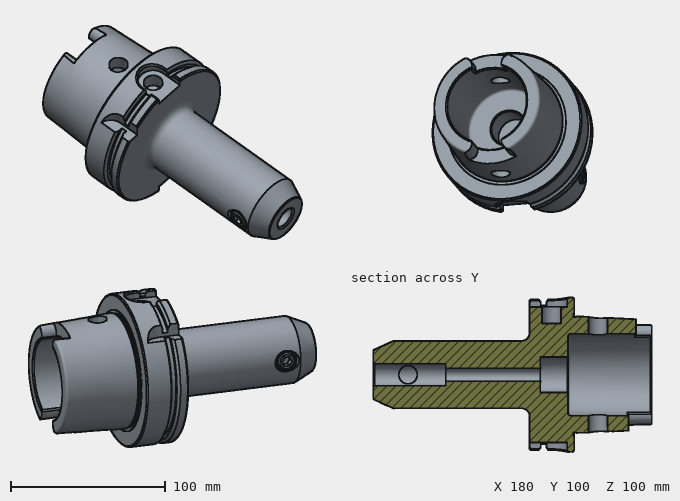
import cadquery as cq
import math

LENGTH = 180.0
FLANGE_RADIUS = 100.0 / 2

TAPER_END = 47.3
TAPER_LARGE_RADIUS = 37.8
TAPER_SLOPE = 0.05
TAPER_SMALL_RADIUS = TAPER_LARGE_RADIUS - TAPER_SLOPE * TAPER_END
NOSE_ROUND = 1.8
RELIEF_RADIUS = 37.5
RELIEF_START = 48.5
RELIEF_FULL = 49.5
FACE_RECESS_RADIUS = 39.6
FACE_RECESS_DEPTH = 0.5

FLANGE_START = 50.0
FLANGE_END = 79.0
FLANGE_EDGE = 0.9
GROOVE_LEFT = 66.8
GROOVE_FLOOR_LEFT = 68.0
GROOVE_FLOOR_RIGHT = 71.6
GROOVE_RIGHT = 73.3
GROOVE_LIP_RADIUS = 47.9
GROOVE_RADIUS = 45.9

SHANK_RADIUS = 22.0
SHANK_FILLET = 5.0
TIP_START = 166.9
TIP_RADIUS = 16.2
TIP_EDGE = 0.5

CLAMP_BORE_RADIUS = 26.5
CLAMP_BORE_DEPTH = 54.0
CLAMP_FLOOR_FILLET = 1.6
CLAMP_RIM_CHAMFER = 0.9
TUBE_BORE_RADIUS = 11.3
TUBE_BORE_DEPTH = 18.0
TUBE_BORE_CHAMFER = 0.7
COOLANT_RADIUS = 8.1 / 2
TOOL_BORE_RADIUS = 7.0
TOOL_BORE_DEPTH = 46.8
TOOL_BORE_CHAMFER = 1.0

DRIVE_HALF_WIDTH = 9.9
DRIVE_FLARE_RADIUS = 5.8
UPPER_DRIVE_DEPTH = 10.0
LOWER_DRIVE_DEPTH = 15.0

CROSS_HOLE_X = 34.7
CROSS_HOLE_RADIUS = 6.1

KEYWAY_X = 64.8
KEYWAY_HALF_WIDTH = 10.0
KEYWAY_FLOOR = 44.0
KEYWAY_CHAMFER = 1.0
KEYWAY_HOLE_RADIUS = 6.1
KEYWAY_HOLE_DEPTH = 10.8

NOTCH_OFFSET = 31.1

SCREW_X = 157.5
SCREW_RADIUS = 6.0
SCREW_TOP = 21.8
SCREW_CHAMFER = 1.0
HEX_ACROSS_FLATS = 6.0
HEX_DEPTH = 4.5
HEX_TURN = 30
SCREW_RELIEF_RADIUS = 7.0
SCREW_RELIEF_FLOOR = 20.2
COUNTERSINK_RADIUS = 8.3

OVERSHOOT = 1.8
TOLERANCE = 0.02


def revolved(profile):
    return profile.close().revolve(360, (0, 0, 0), (1, 0, 0))


def outer_body():
    fillet_top = SHANK_RADIUS + SHANK_FILLET
    arc_x = FLANGE_END + SHANK_FILLET * (1 - math.sqrt(0.5))
    arc_radius = fillet_top - SHANK_FILLET * math.sqrt(0.5)
    recess_floor = FLANGE_START + FACE_RECESS_DEPTH
    profile = (
        cq.Workplane("XZ")
        .moveTo(0, 0)
        .lineTo(0, TAPER_SMALL_RADIUS)
        .lineTo(TAPER_END, TAPER_LARGE_RADIUS)
        .lineTo(RELIEF_START, TAPER_LARGE_RADIUS)
        .lineTo(RELIEF_FULL, RELIEF_RADIUS)
        .lineTo(recess_floor, RELIEF_RADIUS)
        .lineTo(recess_floor, FACE_RECESS_RADIUS)
        .lineTo(FLANGE_START, FACE_RECESS_RADIUS)
        .lineTo(FLANGE_START, FLANGE_RADIUS - FLANGE_EDGE)
        .lineTo(FLANGE_START + FLANGE_EDGE, FLANGE_RADIUS)
        .lineTo(FLANGE_END - FLANGE_EDGE, FLANGE_RADIUS)
        .lineTo(FLANGE_END, FLANGE_RADIUS - FLANGE_EDGE)
        .lineTo(FLANGE_END, fillet_top)
        .threePointArc((arc_x, arc_radius), (FLANGE_END + SHANK_FILLET, SHANK_RADIUS))
        .lineTo(TIP_START, SHANK_RADIUS)
        .lineTo(LENGTH - TIP_EDGE, TIP_RADIUS)
        .lineTo(LENGTH, TIP_RADIUS - TIP_EDGE)
        .lineTo(LENGTH, 0)
    )
    return revolved(profile).faces("<X").edges().fillet(NOSE_ROUND)


def clamp_bore():
    bore = cq.Workplane("YZ").circle(CLAMP_BORE_RADIUS).extrude(CLAMP_BORE_DEPTH)
    return bore.faces(">X").edges().fillet(CLAMP_FLOOR_FILLET)


def drive_slot(depth, side):
    """A slot across the nose whose walls flare out in arcs; side is +1 for +Z and -1 for -Z."""
    half = DRIVE_HALF_WIDTH
    flare = DRIVE_FLARE_RADIUS
    flare_start = CLAMP_BORE_RADIUS
    top = TAPER_LARGE_RADIUS + OVERSHOOT
    slot = (
        cq.Workplane("YZ")
        .moveTo(-half, 0)
        .lineTo(half, 0)
        .lineTo(half, flare_start)
        .radiusArc((half + flare, flare_start + flare), flare)
        .lineTo(half + flare, top)
        .lineTo(-half - flare, top)
        .lineTo(-half - flare, flare_start + flare)
        .radiusArc((-half, flare_start), flare)
        .close()
        .extrude(depth)
    )
    return slot if side > 0 else slot.mirror("XY")


def chamfer_clamp_rim(body):
    """Chamfer the mouth of the clamp bore, along the nose and around both drive slots."""
    reach = CLAMP_BORE_RADIUS + TOLERANCE
    mouth = cq.selectors.BoxSelector((-OVERSHOOT, -reach, -reach), (LOWER_DRIVE_DEPTH + OVERSHOOT, reach, reach))
    rim = [
        edge
        for edge in body.edges(mouth).vals()
        if all(math.hypot(point.y, point.z) < reach for point in edge.positions([0, 0.5, 1]))
    ]
    return body.newObject(rim).chamfer(CLAMP_RIM_CHAMFER)


def axial_bores():
    """The coolant tube bore, the coolant hole and the tool bore as one cutter."""
    tube_end = CLAMP_BORE_DEPTH + TUBE_BORE_DEPTH
    tool_start = LENGTH - TOOL_BORE_DEPTH
    profile = (
        cq.Workplane("XZ")
        .moveTo(CLAMP_BORE_DEPTH, 0)
        .lineTo(CLAMP_BORE_DEPTH, TUBE_BORE_RADIUS + TUBE_BORE_CHAMFER)
        .lineTo(CLAMP_BORE_DEPTH + TUBE_BORE_CHAMFER, TUBE_BORE_RADIUS)
        .lineTo(tube_end, TUBE_BORE_RADIUS)
        .lineTo(tube_end, COOLANT_RADIUS)
        .lineTo(tool_start, COOLANT_RADIUS)
        .lineTo(tool_start, TOOL_BORE_RADIUS)
        .lineTo(LENGTH - TOOL_BORE_CHAMFER, TOOL_BORE_RADIUS)
        .lineTo(LENGTH, TOOL_BORE_RADIUS + TOOL_BORE_CHAMFER)
        .lineTo(LENGTH, 0)
    )
    return revolved(profile)


def gripper_groove():
    rim = FLANGE_RADIUS + OVERSHOOT
    profile = (
        cq.Workplane("XZ")
        .moveTo(GROOVE_FLOOR_LEFT, GROOVE_RADIUS)
        .lineTo(GROOVE_FLOOR_LEFT, GROOVE_LIP_RADIUS)
        .lineTo(GROOVE_LEFT, FLANGE_RADIUS)
        .lineTo(GROOVE_LEFT, rim)
        .lineTo(GROOVE_RIGHT, rim)
        .lineTo(GROOVE_RIGHT, FLANGE_RADIUS)
        .lineTo(GROOVE_FLOOR_RIGHT, GROOVE_LIP_RADIUS)
        .lineTo(GROOVE_FLOOR_RIGHT, GROOVE_RADIUS)
    )
    return revolved(profile)


def round_ended_slot(center_y, floor):
    """A vertical-walled slot with a round end that runs out through the rear face of the flange."""
    half = KEYWAY_HALF_WIDTH
    return (
        cq.Workplane("XY", origin=(0, center_y, floor))
        .moveTo(FLANGE_END + OVERSHOOT, -half)
        .lineTo(KEYWAY_X, -half)
        .threePointArc((KEYWAY_X - half, 0), (KEYWAY_X, half))
        .lineTo(FLANGE_END + OVERSHOOT, half)
        .close()
        .extrude(FLANGE_RADIUS)
    )


def cut_keyways(body):
    """Cut a keyway at +Z and at -Z and chamfer where their walls meet the flange rim."""
    upper = round_ended_slot(0, KEYWAY_FLOOR)
    body = body.cut(upper).cut(upper.mirror("XY"))
    reach_y = KEYWAY_HALF_WIDTH + 0.7
    low = FLANGE_RADIUS - 1.6
    high = FLANGE_RADIUS + OVERSHOOT
    rims = []
    for z_range in ((low, high), (-high, -low)):
        box = cq.selectors.BoxSelector(
            (FLANGE_START + OVERSHOOT, -reach_y, z_range[0]), (FLANGE_END, reach_y, z_range[1])
        )
        rims += [edge for edge in body.edges(box).vals() if edge.Center().x < FLANGE_END - 0.2]
    return body.newObject(rims).chamfer(KEYWAY_CHAMFER)


def orientation_notch():
    return round_ended_slot(-NOTCH_OFFSET - KEYWAY_HALF_WIDTH, NOTCH_OFFSET)


def cross_hole():
    return (
        cq.Workplane("XY", origin=(CROSS_HOLE_X, 0, 0))
        .circle(CROSS_HOLE_RADIUS)
        .extrude(FLANGE_RADIUS, both=True)
    )


def keyway_hole():
    return (
        cq.Workplane("XY", origin=(KEYWAY_X, 0, KEYWAY_FLOOR - KEYWAY_HOLE_DEPTH))
        .circle(KEYWAY_HOLE_RADIUS)
        .extrude(KEYWAY_HOLE_DEPTH + OVERSHOOT)
    )


def screw_hole():
    """The threaded hole from the axis out to -Y, its relief and its countersink."""
    thread = cq.Workplane("XZ", origin=(SCREW_X, 0, 0)).circle(SCREW_RADIUS).extrude(SHANK_RADIUS)
    relief = (
        cq.Workplane("XZ", origin=(SCREW_X, -SCREW_RELIEF_FLOOR, 0))
        .circle(SCREW_RELIEF_RADIUS)
        .extrude(SHANK_RADIUS - SCREW_RELIEF_FLOOR)
    )
    sink_depth = COUNTERSINK_RADIUS - SCREW_RELIEF_RADIUS
    countersink = cq.Solid.makeCone(
        SCREW_RELIEF_RADIUS,
        COUNTERSINK_RADIUS,
        sink_depth,
        cq.Vector(SCREW_X, sink_depth - SHANK_RADIUS, 0),
        cq.Vector(0, -1, 0),
    )
    return thread.union(relief).union(cq.Workplane(countersink))


def make_holder():
    body = outer_body().cut(clamp_bore())
    body = body.cut(drive_slot(UPPER_DRIVE_DEPTH, 1)).cut(drive_slot(LOWER_DRIVE_DEPTH, -1))
    body = chamfer_clamp_rim(body)
    body = body.cut(axial_bores())
    body = cut_keyways(body)
    body = body.cut(gripper_groove()).cut(orientation_notch())
    body = body.cut(cross_hole()).cut(keyway_hole())
    return body.cut(screw_hole())


def make_set_screw():
    """A set screw that ends flush with the wall of the tool bore."""
    blank = (
        cq.Workplane("XZ", origin=(SCREW_X, 0, 0))
        .circle(SCREW_RADIUS)
        .extrude(SCREW_TOP)
        .faces("<Y")
        .edges()
        .chamfer(SCREW_CHAMFER)
    )
    socket = (
        cq.Workplane("XZ", origin=(SCREW_X, HEX_DEPTH - SCREW_TOP, 0))
        .transformed(rotate=(0, 0, HEX_TURN))
        .polygon(6, HEX_ACROSS_FLATS, circumscribed=True)
        .extrude(HEX_DEPTH)
    )
    return blank.cut(socket).cut(axial_bores())


holder = make_holder()
set_screw = make_set_screw()
result = cq.Compound.makeCompound([holder.val(), set_screw.val()])